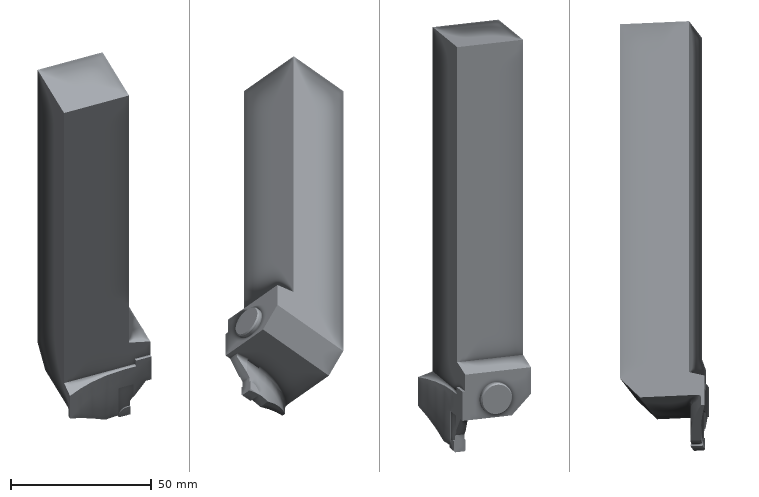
import cadquery as cq
import math

TOTAL_HEIGHT = 151.4
SHANK = 25.0
HEAD_BOTTOM = 14.2
CORNER_CHAMFER = 7.3
HEAD_WIDTH = 30.5
HEAD_DEPTH = 33.1
SIDE_STEP_TOP = 22.7
BACK_STEP_TOP = 33.6
STEP_SLOPE = math.tan(math.radians(15))
BACK_RIB_FRONT = 27.2
BACK_RIB_TOP = 25.1

OUTER_X = 26.0
OUTER_TANGENT_Y = 22.7
INNER_X = 22.2
FRONT_INNER_X = 29.4
BLADE_BOTTOM = 1.4
BLADE_FLAT_START = 15.3
BLADE_FRONT_BOTTOM = 10.5
ROOT_FILLET = 1.0

INSERT_FRONT = 20.5
INSERT_BACK = 26.3
RAKE_FACE = 25.0
RAKE_TOP = 6.4
INSERT_SLOPE_TOP = 8.2
TIP_OVERHANG = 0.5
TIP_OUTER_X = 26.2
TIP_HEIGHT = 4.2
TIP_CORNER_RADIUS = 3.5
TIP_CHAMFER = 0.5
TIP_RELIEF = 0.6

JAW_BACK = 31.0
JAW_BACK_INNER_X = 23.2
SCREW_DIAMETER = 11.8
SCREW_X = 13.6
SCREW_Z = 21.5
SCREW_HEAD_END = 35.1
SCREW_CHAMFER = 0.5


def prism_y(points, front, back):
    """Extrude an XZ outline from front to back along Y."""
    return cq.Workplane("XZ", origin=(0, front, 0)).polyline(points).close().extrude(front - back)


def prism_x(points, left, right):
    """Extrude a YZ outline from left to right along X."""
    return cq.Workplane("YZ", origin=(left, 0, 0)).polyline(points).close().extrude(right - left)


def tangent_arc_radius(side_offset, length):
    """Radius of an arc that drifts sideways by side_offset over length from its tangent point."""
    return (length**2 + side_offset**2) / (2 * side_offset)


def arc_point(tangent_x, tangent_y, radius, y):
    """Point at y on an arc that is tangent to the Y direction and bends towards +X."""
    return tangent_x + radius - math.sqrt(radius**2 - (tangent_y - y) ** 2), y


OUTER_RADIUS = tangent_arc_radius(HEAD_WIDTH - OUTER_X, OUTER_TANGENT_Y)


def with_outer_arc(outline):
    """Finish a plan outline, ending at the outer tangent point, along the arc to the front face."""
    middle = arc_point(OUTER_X, OUTER_TANGENT_Y, OUTER_RADIUS, OUTER_TANGENT_Y / 2)
    return outline.threePointArc(middle, (HEAD_WIDTH, 0)).close()


def make_shank():
    side = [
        (0, HEAD_BOTTOM),
        (HEAD_DEPTH, HEAD_BOTTOM),
        (HEAD_DEPTH, BACK_STEP_TOP - (HEAD_DEPTH - SHANK) * STEP_SLOPE),
        (SHANK, BACK_STEP_TOP),
        (SHANK, TOTAL_HEIGHT),
        (0, TOTAL_HEIGHT),
    ]
    corner = [
        (0, HEAD_BOTTOM),
        (CORNER_CHAMFER, HEAD_BOTTOM),
        (0, HEAD_BOTTOM + CORNER_CHAMFER),
    ]
    return prism_x(side, 0, SHANK).cut(prism_y(corner, 0, HEAD_DEPTH))


def make_side_step():
    """Sloped step beside the shank, bounded outside by the concave arc."""
    profile = [
        (SHANK, HEAD_BOTTOM),
        (HEAD_WIDTH, HEAD_BOTTOM),
        (HEAD_WIDTH, SIDE_STEP_TOP - (HEAD_WIDTH - SHANK) * STEP_SLOPE),
        (SHANK, SIDE_STEP_TOP),
    ]
    plan = cq.Workplane("XY").moveTo(SHANK, 0).lineTo(SHANK, HEAD_DEPTH)
    plan = plan.lineTo(OUTER_X, HEAD_DEPTH).lineTo(OUTER_X, OUTER_TANGENT_Y)
    step = with_outer_arc(plan).extrude(TOTAL_HEIGHT).intersect(prism_y(profile, 0, HEAD_DEPTH))
    rib = cq.Workplane("XY").box(
        OUTER_X - SHANK, HEAD_DEPTH - BACK_RIB_FRONT, BACK_RIB_TOP - HEAD_BOTTOM, centered=False
    )
    return step.union(rib.translate((SHANK, BACK_RIB_FRONT, HEAD_BOTTOM)))


def make_blade():
    """Curved blade in front of the insert, cut obliquely at its lower front."""
    inner_radius = tangent_arc_radius(FRONT_INNER_X - INNER_X, INSERT_FRONT)
    inner_middle = arc_point(INNER_X, INSERT_FRONT, inner_radius, INSERT_FRONT / 2)
    outer_back = arc_point(OUTER_X, OUTER_TANGENT_Y, OUTER_RADIUS, INSERT_FRONT)
    outer_middle = arc_point(OUTER_X, OUTER_TANGENT_Y, OUTER_RADIUS, INSERT_FRONT / 2)
    plan = cq.Workplane("XY").moveTo(FRONT_INNER_X, 0).threePointArc(inner_middle, (INNER_X, INSERT_FRONT))
    plan = plan.lineTo(*outer_back).threePointArc(outer_middle, (HEAD_WIDTH, 0)).close()
    side = [
        (0, HEAD_BOTTOM),
        (0, BLADE_FRONT_BOTTOM),
        (BLADE_FLAT_START, BLADE_BOTTOM),
        (INSERT_FRONT, BLADE_BOTTOM),
        (INSERT_FRONT, HEAD_BOTTOM),
    ]
    return plan.extrude(HEAD_BOTTOM).intersect(prism_x(side, 0, HEAD_WIDTH))


def make_jaw():
    """Tapered jaw that backs the insert."""
    plan = [
        (INNER_X, INSERT_BACK),
        (OUTER_X, INSERT_BACK),
        (OUTER_X, JAW_BACK),
        (JAW_BACK_INNER_X, JAW_BACK),
    ]
    side = [
        (INSERT_BACK, HEAD_BOTTOM),
        (JAW_BACK, HEAD_BOTTOM),
        (INSERT_BACK, INSERT_SLOPE_TOP),
    ]
    jaw = cq.Workplane("XY").polyline(plan).close().extrude(HEAD_BOTTOM)
    return jaw.intersect(prism_x(side, 0, HEAD_WIDTH))


def make_screw_head():
    head = cq.Workplane("XZ", origin=(SCREW_X, HEAD_DEPTH, SCREW_Z)).circle(SCREW_DIAMETER / 2)
    return head.extrude(HEAD_DEPTH - SCREW_HEAD_END).faces(">Y").chamfer(SCREW_CHAMFER)


def fillet_edge_near(body, point):
    """Round the root edge whose middle lies nearest to the point."""
    return body.edges(cq.selectors.NearestToPointSelector(point)).fillet(ROOT_FILLET)


def make_holder():
    """Shank, head, blade, jaw and screw head as one solid."""
    holder = make_shank().union(make_side_step()).union(make_blade())
    blade_root = (INNER_X, INSERT_FRONT / 2, HEAD_BOTTOM)
    holder = fillet_edge_near(holder, blade_root).union(make_jaw())
    jaw_root = ((INNER_X + JAW_BACK_INNER_X) / 2, (INSERT_BACK + JAW_BACK) / 2, HEAD_BOTTOM)
    holder = fillet_edge_near(holder, jaw_root)
    return holder.union(make_screw_head())


def make_insert():
    """Cutting insert held between the blade and the jaw, with its wider tip."""
    side = [
        (INSERT_FRONT, HEAD_BOTTOM),
        (INSERT_FRONT, TIP_RELIEF),
        (RAKE_FACE, 0),
        (RAKE_FACE, RAKE_TOP),
        (INSERT_BACK, INSERT_SLOPE_TOP),
        (INSERT_BACK, HEAD_BOTTOM),
    ]
    tip_inner_x = INNER_X - TIP_OVERHANG
    tip_profile = [
        (tip_inner_x, TIP_HEIGHT),
        (tip_inner_x, TIP_CHAMFER),
        (tip_inner_x + TIP_CHAMFER, 0),
        (TIP_OUTER_X - TIP_CHAMFER, 0),
        (TIP_OUTER_X, TIP_CHAMFER),
        (TIP_OUTER_X, TIP_HEIGHT),
    ]
    body = prism_x(side, INNER_X, TIP_OUTER_X - TIP_CHAMFER)
    tip = prism_y(tip_profile, INSERT_FRONT, RAKE_FACE)
    tip = tip.edges("|X and >Z and <Y").fillet(TIP_CORNER_RADIUS)
    tip = tip.intersect(prism_x(side, 0, HEAD_WIDTH))
    return body.union(tip)


holder = make_holder()
insert = make_insert()

result = cq.Compound.makeCompound([holder.solids().val(), insert.solids().val()])